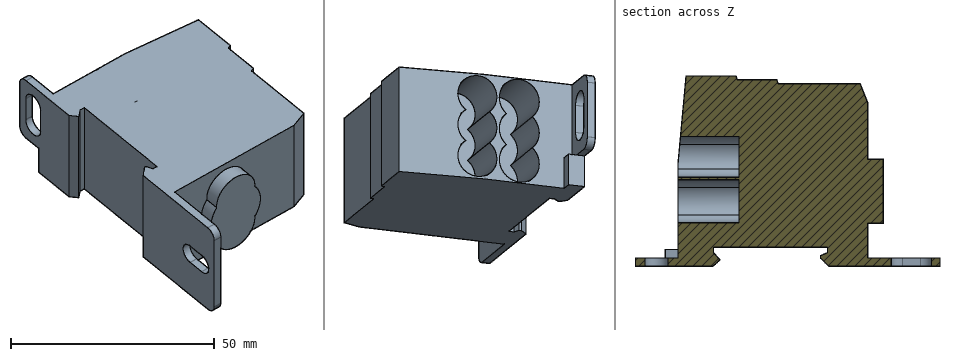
import cadquery as cq

length = 74.8
height = 46.8
width = 27.0

body_left = 10.4
body_right = 57.05
fold_y = 25.0
top_left = 12.4
step_drop = 0.95
step_run = 0.3
first_step_x = 24.7
second_step_x = 34.75
top_right = 55.2
right_chamfer_y = 40.2

recess_left = 19.2
recess_right = 47.1
recess_depth = 4.7
hook_root_y = 3.4
fixed_hook_tip = (20.8, 1.6)
fixed_hook_foot_x = 19.0
catch_tip_x = 45.4
catch_upper_y = 2.65
catch_lower_y = 2.1
catch_foot_x = 47.5

tab_thickness = 2.1
tab_corner_radius = 2.5
left_tab_bottom = 7.9
left_slot_x = 5.2
left_slot_length = 12.65
left_slot_width = 5.65
right_slot_x = 67.75
right_slot_length = 9.8
right_slot_width = 5.4

foot_left = 7.3
foot_height = 4.2

bore_pitch = 8.0
bore_depth = 15.0
lower_bore_y = 16.0
lower_bore_diameter = 10.5
upper_bore_y = 26.9
upper_bore_diameter = 10.0

boss_projection = 3.8
boss_y = 18.45
boss_diameter = 15.75
boss_lobe_diameter = 12.2
boss_lobe_offset = 5.45


def box(x_min, x_max, y_max, z_min, z_max):
    """Block standing on the rail-side plane Y = 0."""
    size = (x_max - x_min, y_max, z_max - z_min)
    return cq.Workplane("XY").box(*size, centered=False).translate((x_min, 0, z_min))


def make_housing():
    first_level = height - step_drop
    second_level = first_level - step_drop
    outline = [
        (body_left, 0),
        (body_left, fold_y),
        (top_left, height),
        (first_step_x, height),
        (first_step_x + step_run, first_level),
        (second_step_x, first_level),
        (second_step_x + step_run, second_level),
        (top_right, second_level),
        (body_right, right_chamfer_y),
        (body_right, 0),
        (catch_foot_x, 0),
        (catch_tip_x, catch_lower_y),
        (catch_tip_x, catch_upper_y),
        (recess_right, hook_root_y),
        (recess_right, recess_depth),
        (recess_left, recess_depth),
        (recess_left, hook_root_y),
        fixed_hook_tip,
        (fixed_hook_foot_x, 0),
    ]
    return cq.Workplane("XY").polyline(outline).close().extrude(width)


def make_left_tab():
    tab = box(0, body_left, tab_thickness, left_tab_bottom, width)
    tab = tab.edges("|Y and <X").fillet(tab_corner_radius)
    foot = box(foot_left, body_left, foot_height, 0, left_tab_bottom)
    return tab.union(foot)


def make_right_tab():
    tab = box(body_right, length, tab_thickness, 0, width)
    return tab.edges("|Y and >X").fillet(tab_corner_radius)


def make_slot(x, z, slot_length, slot_width, angle):
    """Round-ended cutter through a mounting tab."""
    profile = cq.Workplane("XZ", origin=(x, 0, z)).slot2D(slot_length, slot_width, angle)
    return profile.extrude(-tab_thickness)


def x_cylinder(x, y, z, diameter, depth):
    """Cylinder along +X starting at the given centre."""
    return cq.Workplane("YZ", origin=(x, y, z)).circle(diameter / 2).extrude(depth)


def cut_bores(part):
    for y, diameter in ((lower_bore_y, lower_bore_diameter), (upper_bore_y, upper_bore_diameter)):
        for row in (-1, 0, 1):
            z = width / 2 + row * bore_pitch
            part = part.cut(x_cylinder(body_left, y, z, diameter, bore_depth))
    return part


def make_boss():
    """Round boss with an equal smaller lobe above and below its centre."""
    centre_z = width / 2
    boss = x_cylinder(body_right, boss_y, centre_z, boss_diameter, boss_projection)
    for side in (-1, 1):
        lobe_z = centre_z + side * boss_lobe_offset
        boss = boss.union(x_cylinder(body_right, boss_y, lobe_z, boss_lobe_diameter, boss_projection))
    return boss


left_slot_z = (left_tab_bottom + width) / 2
left_slot = make_slot(left_slot_x, left_slot_z, left_slot_length, left_slot_width, 90)
right_slot = make_slot(right_slot_x, width / 2, right_slot_length, right_slot_width, 0)

body = make_housing().union(make_left_tab()).union(make_right_tab()).union(make_boss())
body = body.cut(left_slot).cut(right_slot)
result = cut_bores(body)